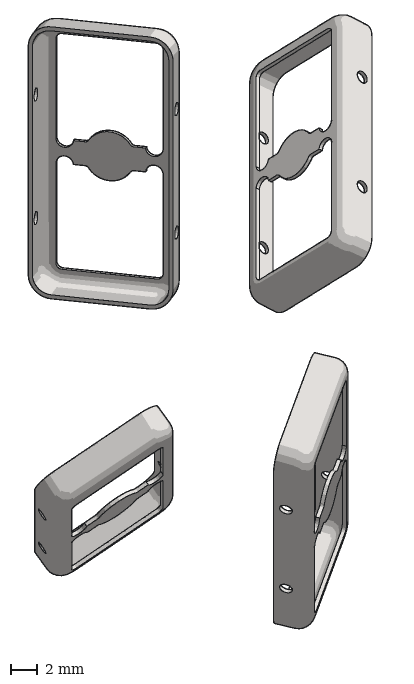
import cadquery as cq
import math

width = 11.3
depth = 2.8
height = 22.0
wall = 0.33
corner_radius = 1.8
edge_radius = 1.2

window_margin = 1.47
window_radius = 0.48
window_width = width - 2 * window_margin
window_height = height - 2 * window_margin

disc_radius = 1.98
disc_blend = 0.3
tab_half_height = 0.97
notch_radius = 0.68
neck_half_height = 0.35

hole_diameter = 1.0
hole_from_rim = 1.0
hole_spacing = 9.99


def rounded_block(inset, front, back, vertical_radius):
    """Block between two Y planes, inset from the outer sides."""
    return (
        cq.Workplane("XZ", origin=(0, back, 0))
        .rect(width - 2 * inset, height - 2 * inset)
        .extrude(back - front)
        .edges("|Y")
        .fillet(vertical_radius)
    )


def make_tray():
    outer = rounded_block(0, 0, depth, corner_radius)
    outer = outer.faces(">Y").edges().fillet(edge_radius)
    cavity = rounded_block(wall, 0, depth - wall, corner_radius - wall)
    cavity = cavity.faces(">Y").edges().fillet(edge_radius - wall)
    return outer.cut(cavity)


def make_window():
    return (
        cq.Workplane("XZ", origin=(0, depth, 0))
        .rect(window_width, window_height)
        .extrude(wall)
        .edges("|Y")
        .fillet(window_radius)
    )


def make_bridge():
    """Central disc with blended tabs, necked down by round notches at both ends."""
    floor = cq.Workplane("XZ", origin=(0, depth, 0))
    notch_x = window_width / 2 - notch_radius
    notch_z = neck_half_height + notch_radius

    blend_z = tab_half_height + disc_blend
    blend_x = math.sqrt((disc_radius + disc_blend) ** 2 - blend_z**2)

    bridge = floor.rect(window_width, 2 * tab_half_height).extrude(wall)
    bridge = bridge.union(floor.circle(disc_radius).extrude(wall))
    for side_x in (-1, 1):
        for side_z in (-1, 1):
            blend = (
                floor.moveTo(0, 0)
                .lineTo(side_x * blend_x, 0)
                .lineTo(side_x * blend_x, side_z * blend_z)
                .close()
                .extrude(wall)
            )
            blend_cutter = (
                floor.center(side_x * blend_x, side_z * blend_z)
                .circle(disc_blend)
                .extrude(wall)
            )
            bridge = bridge.union(blend.cut(blend_cutter))
            notch = floor.center(side_x * notch_x, side_z * notch_z).circle(notch_radius).extrude(wall)
            bridge = bridge.cut(notch)
    return bridge


def make_cross_holes():
    return (
        cq.Workplane("YZ", origin=(-width / 2, hole_from_rim, 0))
        .pushPoints([(0, -hole_spacing / 2), (0, hole_spacing / 2)])
        .circle(hole_diameter / 2)
        .extrude(width)
    )


result = make_tray().cut(make_window()).union(make_bridge()).cut(make_cross_holes())